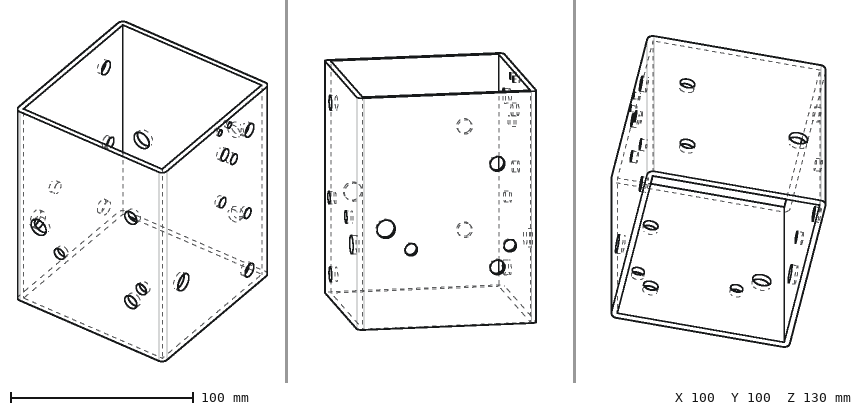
import cadquery as cq

height = 130.0
width = 100.0
wall = 3.2
corner_radius = 3.2

bolt_diameter = 8.0
cable_diameter = 10.1
screw_diameter = 6.8
pin_diameter = 3.5
sensor_diameter = 6.1
sensor_bolt_diameter = 7.2

y_bolts = [(28.0, 25.1), (28.0, -32.9)]
y_cable = [(-34.2, -9.0)]
y_screws = [(-20.2, -21.0), (35.0, -21.0)]

x_bolts = [(31.0, 45.1), (31.0, -51.1)]
x_cable = [(-31.2, -21.0)]
x_screws = [(35.0, -9.0), (-15.0, -9.0)]

pins = [(12.1, 60.3), (3.4, 60.3)]
sensor_holes = [(16.4, 34.2), (29.2, -10.9), (5.7, 10.9)]
sensor_bolts = [(7.8, 42.5)]


def x_drill(places, diameter, start, length):
    """Cylinders along +X, from x = start, at the given (y, z) places."""
    plane = cq.Workplane("YZ").workplane(offset=start)
    return plane.pushPoints(places).circle(diameter / 2).extrude(length)


def y_drill(places, diameter, start, length):
    """Cylinders along +Y, from y = start, at the given (x, z) places."""
    plane = cq.Workplane("XZ").workplane(offset=-start)
    return plane.pushPoints(places).circle(diameter / 2).extrude(-length)


def tube():
    """Tube with rounded outer edges and a sharp-cornered bore."""
    bore = width - 2 * wall
    outer = cq.Workplane("XY").box(width, width, height).edges("|Z").fillet(corner_radius)
    return outer.cut(cq.Workplane("XY").box(bore, bore, height))


near_face = -width / 2
half_width = width / 2

result = tube()

for drill, bolts, cable in ((x_drill, x_bolts, x_cable), (y_drill, y_bolts, y_cable)):
    result = result.cut(drill(bolts, bolt_diameter, near_face, width))
    result = result.cut(drill(cable, cable_diameter, near_face, width))

result = result.cut(x_drill(x_screws, screw_diameter, near_face, half_width))
result = result.cut(y_drill(y_screws, screw_diameter, near_face, half_width))

for places, diameter in (
    (pins, pin_diameter),
    (sensor_holes, sensor_diameter),
    (sensor_bolts, sensor_bolt_diameter),
):
    result = result.cut(x_drill(places, diameter, 0, half_width))